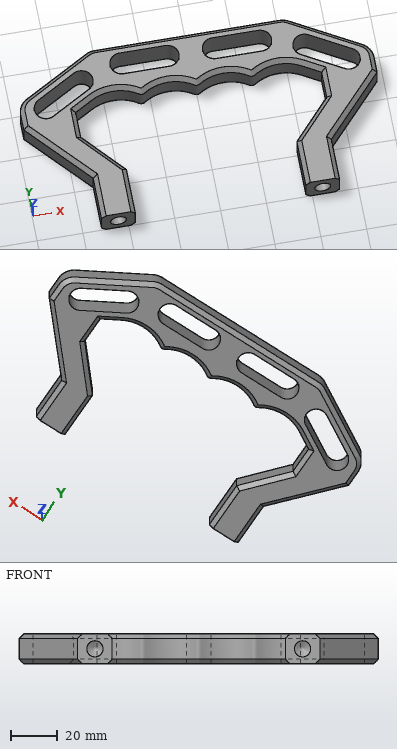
import cadquery as cq
import math

width = 154.0
height = 80.0
thickness = 13.0
edge_chamfer = 2.0

shoulder_angle = 30.0
shoulder_drop = 20.0
side_bottom_y = 47.9
outer_corner_radius = 8.0

leg_center_x = 44.5
leg_width = 14.8
leg_outer_top_y = 19.7
leg_inner_top_y = 21.3

opening_half_width = 53.6
opening_side_bottom_y = 40.0
finger_count = 4
finger_pitch = 24.0
finger_radius = 19.2
finger_peak_y = 59.3
finger_ridge_radius = 2.2

slot_length = 30.0
slot_width = 10.0
top_slot_x = 20.2
top_slot_y = 70.8
shoulder_slot_x = 57.3
shoulder_slot_y = 60.5

hole_diameter = 7.0
hole_depth = 15.4
drill_point_angle = 118.0

sides = (-1, 1)

half_width = width / 2
leg_outer_x = leg_center_x + leg_width / 2
leg_inner_x = leg_center_x - leg_width / 2
shoulder_slope = math.tan(math.radians(shoulder_angle))
shoulder_top_x = half_width - shoulder_drop / shoulder_slope
ridge_positions = [finger_pitch * (i - finger_count / 2) for i in range(1, finger_count)]


def finger_point(finger_x, offset_x):
    """Point on the finger groove centred on finger_x, offset_x away from its peak."""
    rise = math.sqrt(finger_radius**2 - offset_x**2)
    return finger_x + offset_x, finger_peak_y - finger_radius + rise


def make_half():
    """Half of the flat grip on the +X side, with sharp edges."""
    half_pitch = finger_pitch / 2
    finger_xs = [half_pitch + finger_pitch * i for i in range(finger_count // 2)]
    tangent_offset = finger_radius * math.sin(math.radians(shoulder_angle))
    tangent_x, tangent_y = finger_point(finger_xs[-1], tangent_offset)
    opening_corner_y = tangent_y - (opening_half_width - tangent_x) * shoulder_slope
    outline = (
        cq.Workplane("XY", origin=(0, 0, -thickness / 2))
        .moveTo(0, height)
        .lineTo(shoulder_top_x, height)
        .lineTo(half_width, height - shoulder_drop)
        .lineTo(half_width, side_bottom_y)
        .lineTo(leg_outer_x, leg_outer_top_y)
        .lineTo(leg_outer_x, 0)
        .lineTo(leg_inner_x, 0)
        .lineTo(leg_inner_x, leg_inner_top_y)
        .lineTo(opening_half_width, opening_side_bottom_y)
        .lineTo(opening_half_width, opening_corner_y)
        .lineTo(tangent_x, tangent_y)
    )
    for finger_x in reversed(finger_xs):
        outline = outline.threePointArc(finger_point(finger_x, 0), finger_point(finger_x, -half_pitch))
    return outline.close().extrude(thickness)


def fillet_upright_edge(body, x, y, radius):
    """Round the edge parallel to Z that passes through (x, y)."""
    return body.edges(cq.selectors.NearestToPointSelector((x, y, 0))).fillet(radius)


def round_corners(body):
    """Round the four outer shoulder corners and the ridges between the fingers."""
    for side in sides:
        body = fillet_upright_edge(body, side * shoulder_top_x, height, outer_corner_radius)
        body = fillet_upright_edge(body, side * half_width, height - shoulder_drop, outer_corner_radius)
    ridge_y = finger_point(0, finger_pitch / 2)[1]
    for ridge_x in ridge_positions:
        body = fillet_upright_edge(body, ridge_x, ridge_y, finger_ridge_radius)
    return body


def chamfer_outline(body):
    """Chamfer the outline on both flat faces, leaving the end faces on Y = 0 square."""
    face_edges = body.faces("|Z").edges()
    outline = face_edges.filter(lambda edge: edge.Center().y > 0)
    return outline.chamfer(edge_chamfer)


def make_slots():
    """Cutters for the two top slots and the two slots along the shoulders."""
    cutters = cq.Workplane("XY")
    for side in sides:
        for x, y, angle in (
            (top_slot_x, top_slot_y, 0),
            (shoulder_slot_x, shoulder_slot_y, shoulder_angle),
        ):
            slot = (
                cq.Workplane("XY")
                .center(side * x, y)
                .slot2D(slot_length, slot_width, -side * angle)
                .extrude(thickness, both=True)
            )
            cutters = cutters.add(slot)
    return cutters.combine()


def make_hole(x):
    """Cutter for one drilled hole running up a leg from its end."""
    radius = hole_diameter / 2
    tip_length = radius / math.tan(math.radians(drill_point_angle / 2))
    return (
        cq.Workplane("XY")
        .polyline([(0, 0), (radius, 0), (radius, hole_depth), (0, hole_depth + tip_length)])
        .close()
        .revolve(axisStart=(0, 0), axisEnd=(0, 1))
        .translate((x, 0, 0))
    )


half = make_half()
grip = half.union(half.mirror("YZ")).clean()
grip = chamfer_outline(round_corners(grip))
grip = grip.cut(make_slots())
for side in sides:
    grip = grip.cut(make_hole(side * leg_center_x))

result = grip